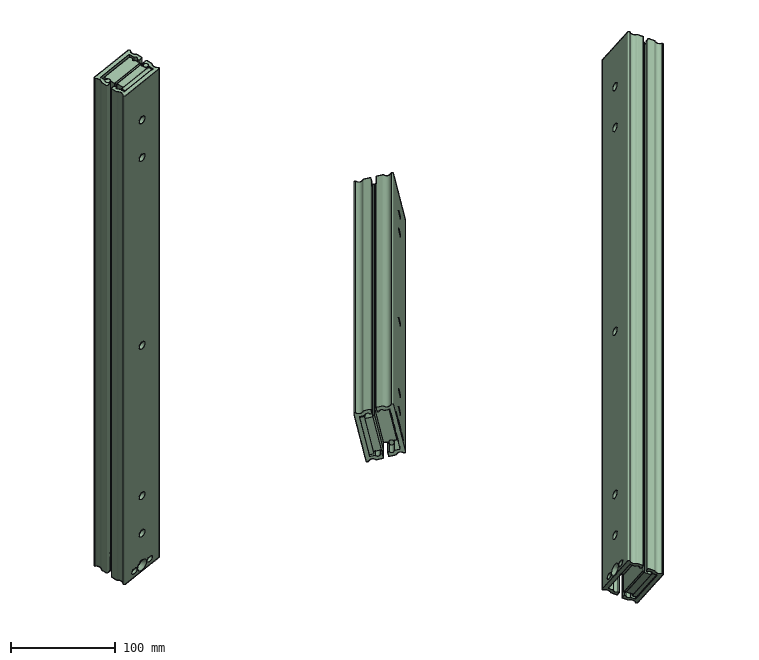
import cadquery as cq


LENGTH = 650.0
WIDTH = 39.0
DEPTH = 51.5
HALF_WIDTH = WIDTH / 2
HALF_DEPTH = DEPTH / 2

LEFT_RAIL_FOOT = 1.0
WEB_THICKNESS = 4.5
WEB_INNER = HALF_WIDTH - WEB_THICKNESS
LIP_EDGE = 2.5
LIP_INNER = 21.0
CORNER_RADIUS = 1.0
LIP_RADIUS = 0.5

GROOVE_CENTRE = 13.5
GROOVE_HALF_WIDTH = 4.0
GROOVE_DEPTH = 2.0
GROOVE_EDGE_RADIUS = 1.0

RACE_SPACING_X = 13.5
RACE_SPACING_Y = 39.5
RACE_X = RACE_SPACING_X / 2
RACE_Y = RACE_SPACING_Y / 2
RACE_RADIUS = 2.5

HOLE_DIAMETER = 8.5
HOLE_PITCH = LENGTH / 26
HOLE_STEPS = (2, 4, 12, 22, 24)

END_FIXING_Z = 8.0
SINK_DIAMETER = 13.0
END_HOLE_DIAMETER = 4.5
SINK_DEPTH = (SINK_DIAMETER - END_HOLE_DIAMETER) / 2
SLOT_CENTRE = 11.0
SLOT_LENGTH = 8.0
SLOT_WIDTH = 6.0

SLIDER_FOOT = LEFT_RAIL_FOOT
LEFT_BAR_FOOT = 23.0
LEFT_BAR_OUTER = 12.5
LEFT_BAR_CORNER_RADIUS = 1.0
PLATE_INNER = 0.5
PLATE_OUTER = 2.5
RIGHT_BAR_OUTER = 10.5
BAR_DEPTH = 37.0
BAR_HALF_DEPTH = BAR_DEPTH / 2
RIGHT_BAR_HALF_DEPTH = RACE_Y - RACE_RADIUS
STRIP_HALF_DEPTH = 19.5


def block(x_min, x_max, half_depth, foot):
    """Upright bar from the foot height to the top, centred on Y."""
    return (
        cq.Workplane("XY", origin=((x_min + x_max) / 2, 0, foot))
        .rect(x_max - x_min, 2 * half_depth)
        .extrude(LENGTH - foot)
    )


def race_cylinder(x, y, foot):
    """Upright cylinder, from the foot height to the top, that fills one ball race."""
    return cq.Workplane("XY", origin=(x, y, foot)).circle(RACE_RADIUS).extrude(LENGTH - foot)


def flange_groove(side):
    """Shallow round groove along one flange; side is +1 or -1 along Y."""
    surface = side * HALF_DEPTH
    return (
        cq.Workplane("XY")
        .moveTo(-GROOVE_CENTRE - GROOVE_HALF_WIDTH, surface)
        .threePointArc(
            (-GROOVE_CENTRE, surface - side * GROOVE_DEPTH),
            (-GROOVE_CENTRE + GROOVE_HALF_WIDTH, surface),
        )
        .close()
        .extrude(LENGTH)
    )


def rail_profile(foot):
    """C-shaped rail with its web on the -X side, before the web is drilled."""
    body = block(-HALF_WIDTH, -LIP_EDGE, HALF_DEPTH, foot)
    body = body.faces("<X").edges("|Z").fillet(CORNER_RADIUS)
    body = body.faces(">X").edges("|Z").fillet(LIP_RADIUS)
    body = body.cut(block(-WEB_INNER, 0, LIP_INNER, 0))
    for side in (-1, 1):
        body = body.cut(flange_groove(side))
        groove_edge = (-GROOVE_CENTRE + GROOVE_HALF_WIDTH, side * HALF_DEPTH, LENGTH / 2)
        body = body.edges(cq.selectors.NearestToPointSelector(groove_edge)).fillet(GROOVE_EDGE_RADIUS)
        body = body.cut(race_cylinder(-RACE_X, side * RACE_Y, 0))
    return body


def web_openings():
    """Mounting holes and the end fixing, all through the web on the -X side."""
    web_face = cq.Workplane("YZ", origin=(-HALF_WIDTH, 0, 0))
    mounting_holes = (
        web_face.pushPoints([(0, step * HOLE_PITCH) for step in HOLE_STEPS])
        .circle(HOLE_DIAMETER / 2)
        .extrude(WEB_THICKNESS)
    )
    slots = (
        web_face.pushPoints([(y, END_FIXING_Z) for y in (-SLOT_CENTRE, SLOT_CENTRE)])
        .slot2D(SLOT_LENGTH, SLOT_WIDTH)
        .extrude(WEB_THICKNESS)
    )
    end_hole = web_face.center(0, END_FIXING_Z).circle(END_HOLE_DIAMETER / 2).extrude(WEB_THICKNESS)
    countersink = cq.Solid.makeCone(
        SINK_DIAMETER / 2,
        END_HOLE_DIAMETER / 2,
        SINK_DEPTH,
        cq.Vector(-HALF_WIDTH, 0, END_FIXING_Z),
        cq.Vector(1, 0, 0),
    )
    return [mounting_holes, slots, end_hole, cq.Workplane(countersink)]


def make_rail(foot):
    """Complete rail with its web on the -X side."""
    body = rail_profile(foot)
    for opening in web_openings():
        body = body.cut(opening)
    return body


def make_left_bar():
    """Short bar in the left rail, with a ball race along each of its Y faces."""
    body = block(-LEFT_BAR_OUTER, PLATE_INNER, BAR_HALF_DEPTH, LEFT_BAR_FOOT)
    body = body.faces(">X").edges("|Z").fillet(LEFT_BAR_CORNER_RADIUS)
    for side in (-1, 1):
        body = body.cut(race_cylinder(-RACE_X, side * RACE_Y, LEFT_BAR_FOOT))
    return body


left_rail = make_rail(LEFT_RAIL_FOOT)
right_rail = make_rail(0).rotate((0, 0, 0), (0, 0, 1), 180)

left_bar = make_left_bar()
centre_plate = block(PLATE_INNER, PLATE_OUTER, BAR_HALF_DEPTH, SLIDER_FOOT)
right_bar = block(PLATE_OUTER, RIGHT_BAR_OUTER, RIGHT_BAR_HALF_DEPTH, SLIDER_FOOT)
side_strip = block(RIGHT_BAR_OUTER, WEB_INNER, STRIP_HALF_DEPTH, SLIDER_FOOT)

race_rods = [race_cylinder(side * RACE_X, side * RACE_Y, LEFT_BAR_FOOT) for side in (-1, 1)]

result = cq.Compound.makeCompound(
    [
        left_rail.val(),
        right_rail.val(),
        left_bar.val(),
        centre_plate.val(),
        right_bar.val(),
        side_strip.val(),
        *[rod.val() for rod in race_rods],
    ]
)